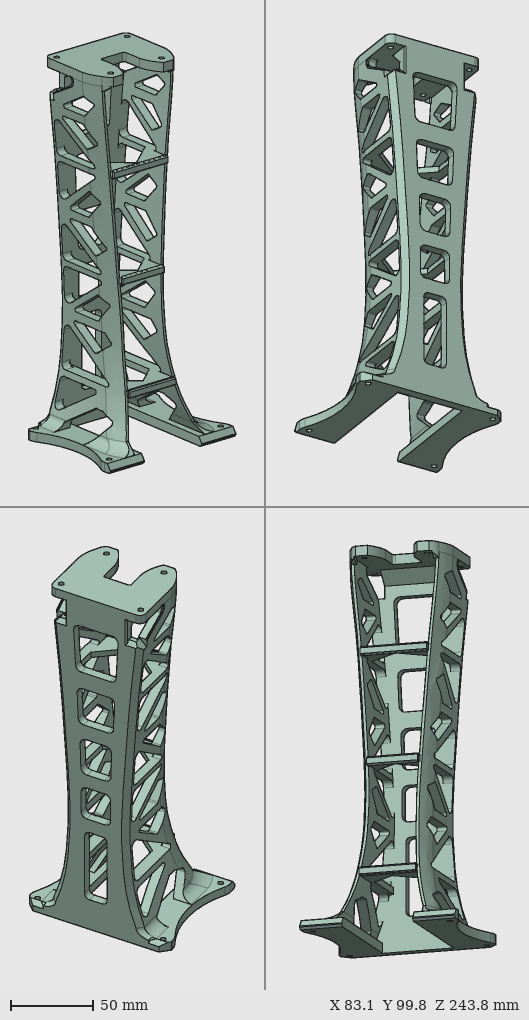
import cadquery as cq
import math


LENGTH = 83.14
WIDTH = 99.76
HEIGHT = 243.8
PLATE = 6.2
HEAD_BOTTOM = HEIGHT - PLATE
SELECT = 1.0

BACK_THICKNESS = 6.0
WALL_THICKNESS = 6.4
CORNER_DEPTH = 4.0
CORNER_WIDTH = 3.6
BEVEL_LENGTH = 13.2
BEVEL_BULGE = 0.8
BEVEL_WIDTH = 4.5

STATIONS = [
    (12.0, 31.9, 71.2),
    (19.0, 29.3, 68.3),
    (26.0, 27.2, 65.4),
    (38.0, 24.6, 61.8),
    (52.0, 22.9, 58.2),
    (71.0, 21.8, 55.1),
    (100.0, 22.2, 52.6),
    (126.0, 23.8, 51.3),
    (155.0, 25.8, 50.5),
    (185.0, 28.2, 49.8),
    (HEAD_BOTTOM, 32.7, 49.3),
]
FLARE_TOP, FLARE_HALF_WIDTH, FLARE_FRONT = STATIONS[0]
_, HEAD_HALF_WIDTH, HEAD_WALL_FRONT = STATIONS[-1]

FLARE_WIDTH = 8.8
FLARE_LENGTH = 8.8
FLARE_STEPS = 4
FLARE_ANGLE = math.radians(75)
FLARE_BOTTOM = PLATE - 0.05
FLARE_INSIDE_SPREAD = 2.3

FOOT_CORNER = 5.6
FOOT_ARC_START = 9.8
FOOT_ARC_END = 74.9
FOOT_ARC_BLEND = 10.0
FOOT_WAIST = 40.9
FOOT_OPENING = 22.8
FOOT_FRONT_BEVEL = (2.8, 4.0)
FOOT_FRONT_CHAMFER = 1.5
FOOT_REAR_BEVEL = 2.2
FOOT_HOLES = [(5.6, 44.2), (75.3, 44.2)]

HEAD_FRONT = 54.9
HEAD_CORNER = 4.5
NOTCH_BACK = 25.6
NOTCH_HALF_WIDTH = 9.5
NOTCH_RADIUS = 1.5
HEAD_HOLES = [(6.2, 27.9), (48.0, 20.2)]
HOLE_DIAMETER = 3.4
LOBE_SUPPORT = 3.8
LOBE_SUPPORT_OVERLAP = 1.0
LOBE_SUPPORT_INSIDE = 25.0
GUSSET = 8.3
POCKET_INSIDE = 21.6

RUNGS = [
    (36.2, 40.5, 64.1, 54.5, 2.4),
    (107.1, 111.0, 55.2, 49.5, 0),
    (176.7, 180.7, 52.9, 48.3, 0),
]
RUNG_V_SLOPE = 1.22
RUNG_V_TIP = 0.2
LIP_ROOT_HEIGHT = 5.8
LIP_TIP_HEIGHT = 3.6
LIP_LENGTH = 1.7

BACK_WINDOWS = [
    (21.9, 71.4, 7.9, 7.9, 3.5),
    (81.0, 103.8, 10.3, 10.3, 4.0),
    (113.5, 139.4, 10.4, 11.2, 4.5),
    (149.8, 176.2, 12.2, 13.3, 4.0),
    (188.2, 222.0, 14.0, 15.8, 4.0),
]

LOW_RUNG, MIDDLE_RUNG, HIGH_RUNG = RUNGS
TRIANGLES = [
    (LOW_RUNG[0], 13.1, 44.4),
    (LOW_RUNG[1], 72.0, 54.0),
    (MIDDLE_RUNG[0], 80.0, 45.1),
    (MIDDLE_RUNG[1], 138.6, 45.0),
    (HIGH_RUNG[0], 148.3, 44.1),
    (HIGH_RUNG[1], 208.0, 44.7),
]
TRIANGLE_RADIUS = 3.8
TRIANGLE_TIP_RADIUS = 1.6

FRONT_OPENINGS = [
    [(18.3, 4.5), (18.3, 10.9), (42.3, 25.6), (49.0, 25.6), (58.9, 21.6), (58.9, 19.3), (44.6, 4.5)],
    [(11.9, 73.7), (43.9, 73.7), (49.8, 67.3), (36.3, 58.0)],
    [(12.8, 79.6), (38.0, 96.9), (48.2, 92.3), (38.0, 79.6)],
    [(12.2, 140.9), (35.0, 140.9), (47.2, 128.9), (37.8, 122.2)],
    [(13.4, 146.7), (35.3, 164.7), (44.7, 159.3), (33.3, 146.7)],
    [(11.4, 209.0), (34.5, 209.0), (45.3, 198.0), (36.3, 192.6)],
    [(13.0, 214.9), (36.4, 228.3), (45.2, 224.5), (36.5, 214.9)],
]
OPENING_RADIUS = 1.4

POCKET_END = 7.5
POCKET_FLOOR = 221.6
POCKET_BACK_BEVEL = 2.8
POCKET_SIDE_BEVEL = 4.3
POCKET_EDGE = 1.0
POCKET_OVERCUT = 1.0
POCKET = [
    (-POCKET_OVERCUT, HEAD_BOTTOM, 0),
    (28.2, HEAD_BOTTOM, 2.6),
    (24.9, 231.8, 1.5),
    (POCKET_END, 222.2, 0),
    (POCKET_END, POCKET_FLOOR, 0),
    (POCKET_BACK_BEVEL, POCKET_FLOOR, 0),
    (-POCKET_OVERCUT, POCKET_FLOOR - POCKET_BACK_BEVEL - POCKET_OVERCUT, 0),
]
POCKET_RIM_DEPTH = 1.1
POCKET_RIM = [
    (-6.0, 238.3, 0),
    (29.9, 238.3, 3.2),
    (26.0, 231.4, 2.2),
    (7.9, POCKET_FLOOR, 0),
    (-6.0, POCKET_FLOOR, 0),
]


def rounded_polygon(workplane, corners):
    """Closed outline through (u, v, radius) corners, each rounded by its radius."""
    count = len(corners)
    outline = None
    for i in range(count):
        u, v, radius = corners[i]
        point = cq.Vector(u, v)
        to_last = (cq.Vector(*corners[i - 1][:2]) - point).normalized()
        to_next = (cq.Vector(*corners[(i + 1) % count][:2]) - point).normalized()
        half_angle = to_last.getAngle(to_next) / 2
        start = point + to_last * (radius / math.tan(half_angle))
        if outline is None:
            outline = workplane.moveTo(start.x, start.y)
        else:
            outline = outline.lineTo(start.x, start.y)
        if radius > 0:
            end = point + to_next * (radius / math.tan(half_angle))
            bisector = (to_last + to_next).normalized()
            middle = point + bisector * (radius / math.sin(half_angle) - radius)
            outline = outline.threePointArc((middle.x, middle.y), (end.x, end.y))
    return outline.close()


def through_y(corners):
    """Prism with an XZ outline, reaching across the whole width."""
    return rounded_polygon(cq.Workplane("XZ"), corners).extrude(WIDTH, both=True)


def both_sides(points):
    """The points together with their mirror images in Y, in order around the outline."""
    return points + [(x, -y) for x, y in reversed(points)]


def bevel_points(half_width, front):
    """Start, middle and end of the arc that bevels the front of a wall."""
    start = (front - BEVEL_LENGTH, half_width)
    end = (front, half_width - BEVEL_WIDTH)
    run = end[0] - start[0]
    drop = start[1] - end[1]
    chord = math.hypot(run, drop)
    middle = (
        (start[0] + end[0]) / 2 + BEVEL_BULGE * drop / chord,
        (start[1] + end[1]) / 2 + BEVEL_BULGE * run / chord,
    )
    return start, middle, end


def mirrored(point):
    return (point[0], -point[1])


def outer_section(z, half_width, front):
    start, middle, end = bevel_points(half_width, front)
    return (
        cq.Workplane("XY")
        .workplane(offset=z)
        .moveTo(0, half_width - CORNER_WIDTH)
        .lineTo(CORNER_DEPTH, half_width)
        .lineTo(*start)
        .threePointArc(middle, end)
        .lineTo(*mirrored(end))
        .threePointArc(mirrored(middle), mirrored(start))
        .lineTo(CORNER_DEPTH, -half_width)
        .lineTo(0, CORNER_WIDTH - half_width)
        .close()
        .val()
    )


def inner_section(z, half_width):
    inside = half_width - WALL_THICKNESS
    points = both_sides([(BACK_THICKNESS, inside), (LENGTH, inside)])
    return cq.Wire.makePolygon([cq.Vector(x, y, z) for x, y in points], close=True)


def tower():
    outside = cq.Solid.makeLoft([outer_section(*station) for station in STATIONS])
    inside = cq.Solid.makeLoft([inner_section(z, half_width) for z, half_width, _ in STATIONS])
    return cq.Workplane(outside).cut(cq.Workplane(inside))


def flare():
    """Spread from the tower walls down to the foot plate: concave at the sides, sloping at the front."""
    sections = []
    for step in range(FLARE_STEPS + 1):
        angle = FLARE_ANGLE * step / FLARE_STEPS
        sideways = (1 - math.cos(angle)) / (1 - math.cos(FLARE_ANGLE))
        downward = math.sin(angle) / math.sin(FLARE_ANGLE)
        z = FLARE_TOP - (FLARE_TOP - FLARE_BOTTOM) * downward
        half_width = FLARE_HALF_WIDTH + FLARE_WIDTH * sideways
        sections.append(outer_section(z, half_width, FLARE_FRONT + FLARE_LENGTH * downward))
    outside = cq.Solid.makeLoft(sections)
    inside = cq.Solid.makeLoft([
        inner_section(FLARE_BOTTOM, FLARE_HALF_WIDTH + FLARE_INSIDE_SPREAD),
        inner_section(FLARE_TOP, FLARE_HALF_WIDTH),
    ])
    return cq.Workplane(outside).cut(cq.Workplane(inside))


def holes(places, bottom):
    points = [(x, side * y) for x, y in places for side in (1, -1)]
    return (
        cq.Workplane("XY")
        .workplane(offset=bottom)
        .pushPoints(points)
        .circle(HOLE_DIAMETER / 2)
        .extrude(PLATE)
    )


def foot():
    half = WIDTH / 2
    arc_middle = (FOOT_ARC_START + FOOT_ARC_END) / 2
    plate = (
        cq.Workplane("XY")
        .moveTo(0, half - FOOT_CORNER)
        .lineTo(FOOT_CORNER, half)
        .lineTo(FOOT_ARC_START, half)
        .threePointArc((arc_middle, FOOT_WAIST), (FOOT_ARC_END, half))
        .lineTo(LENGTH, half)
        .lineTo(LENGTH, -half)
        .lineTo(FOOT_ARC_END, -half)
        .threePointArc((arc_middle, -FOOT_WAIST), (FOOT_ARC_START, -half))
        .lineTo(FOOT_CORNER, -half)
        .lineTo(0, FOOT_CORNER - half)
        .close()
        .extrude(PLATE)
    )
    arc_ends = cq.selectors.BoxSelector(
        (FOOT_ARC_START - SELECT, -WIDTH, -SELECT), (FOOT_ARC_END + SELECT, WIDTH, PLATE + SELECT)
    )
    plate = plate.edges("|Z").edges(arc_ends).fillet(FOOT_ARC_BLEND)
    bevel_length, bevel_height = FOOT_FRONT_BEVEL
    profile = through_y([
        (0, 0, 0),
        (LENGTH - FOOT_FRONT_CHAMFER, 0, 0),
        (LENGTH, FOOT_FRONT_CHAMFER, 0),
        (LENGTH, PLATE - bevel_height, 0),
        (LENGTH - bevel_length, PLATE, 0),
        (CORNER_DEPTH, PLATE, 0),
        (0, PLATE - FOOT_REAR_BEVEL, 0),
    ])
    back_wall = cq.Workplane("XY").box(
        BACK_THICKNESS,
        2 * (FLARE_HALF_WIDTH + FLARE_WIDTH - CORNER_WIDTH),
        PLATE,
        centered=(False, True, False),
    )
    plate = plate.intersect(profile).union(back_wall)
    opening = (
        cq.Workplane("XY")
        .box(LENGTH, 2 * FOOT_OPENING, PLATE, centered=(False, True, False))
        .translate((BACK_THICKNESS, 0, 0))
    )
    return plate.cut(opening).cut(holes(FOOT_HOLES, 0))


def head_outline(bottom, height):
    """Head plate with two rounded front lobes on either side of a central notch."""
    plan = cq.Workplane("XY").workplane(offset=bottom)
    bevel_start, bevel_middle, bevel_end = bevel_points(HEAD_HALF_WIDTH, HEAD_WALL_FRONT)
    lobe_middle = (52.4, 26.4)
    lobe_outer = (HEAD_FRONT, 23.6)
    lobe_inner = (HEAD_FRONT, 16.0)
    notch_curve = (48.0, 11.8)
    notch_start = (40.0, NOTCH_HALF_WIDTH)

    plate = (
        plan.moveTo(0, HEAD_HALF_WIDTH)
        .lineTo(*bevel_start)
        .threePointArc(bevel_middle, bevel_end)
        .threePointArc(lobe_middle, lobe_outer)
        .lineTo(*lobe_inner)
        .threePointArc(notch_curve, notch_start)
        .lineTo(NOTCH_BACK, NOTCH_HALF_WIDTH)
        .lineTo(NOTCH_BACK, -NOTCH_HALF_WIDTH)
        .lineTo(*mirrored(notch_start))
        .threePointArc(mirrored(notch_curve), mirrored(lobe_inner))
        .lineTo(*mirrored(lobe_outer))
        .threePointArc(mirrored(lobe_middle), mirrored(bevel_end))
        .threePointArc(mirrored(bevel_middle), mirrored(bevel_start))
        .lineTo(0, -HEAD_HALF_WIDTH)
        .close()
        .extrude(height)
    )
    plate = plate.edges("|Z and <X").fillet(HEAD_CORNER)
    notch_corners = cq.selectors.BoxSelector(
        (NOTCH_BACK - SELECT, -NOTCH_HALF_WIDTH - SELECT, bottom - SELECT),
        (NOTCH_BACK + SELECT, NOTCH_HALF_WIDTH + SELECT, bottom + height + SELECT),
    )
    return plate.edges("|Z").edges(notch_corners).fillet(NOTCH_RADIUS)


def head():
    plate = head_outline(HEAD_BOTTOM, PLATE)
    return plate.cut(holes(HEAD_HOLES, HEAD_BOTTOM))


def lobe_supports():
    """Sloping wedges below the lobe tips, running down to the front edges of the walls."""
    wedge_back = HEAD_WALL_FRONT - LOBE_SUPPORT_OVERLAP
    profile = through_y([
        (wedge_back, HEAD_BOTTOM, 0),
        (HEAD_FRONT, HEAD_BOTTOM, 0),
        (HEAD_WALL_FRONT, HEAD_BOTTOM - LOBE_SUPPORT, 0),
        (wedge_back, HEAD_BOTTOM - LOBE_SUPPORT, 0),
    ])
    gap = cq.Workplane("XY").box(4 * LENGTH, 2 * LOBE_SUPPORT_INSIDE, 4 * HEIGHT)
    return head_outline(HEAD_BOTTOM - PLATE, PLATE).intersect(profile).cut(gap)


def gusset():
    return (
        cq.Workplane("XZ")
        .moveTo(BACK_THICKNESS, HEAD_BOTTOM)
        .lineTo(BACK_THICKNESS + GUSSET, HEAD_BOTTOM)
        .lineTo(BACK_THICKNESS, HEAD_BOTTOM - GUSSET)
        .close()
        .extrude(POCKET_INSIDE, both=True)
    )


def station_at(z):
    """Half-width and front edge of the tower at height z, between the two nearest stations."""
    for low, high in zip(STATIONS, STATIONS[1:]):
        if low[0] <= z <= high[0]:
            share = (z - low[0]) / (high[0] - low[0])
            return (low[1] + share * (high[1] - low[1]), low[2] + share * (high[2] - low[2]))


def rung(bottom, top, outer, apex, ledge_width):
    """Level web with a V cut on its inner side and a bevelled lip along its outer edge."""
    middle = (bottom + top) / 2
    half_width, front = station_at(middle)
    wall_middle = half_width - WALL_THICKNESS / 2
    inner_edge = half_width - WALL_THICKNESS - ledge_width
    lip_end = half_width - WALL_THICKNESS
    root = outer - LIP_LENGTH
    tip = RUNG_V_TIP / 2
    inner_points = [(apex, tip), (apex - (inner_edge - tip) / RUNG_V_SLOPE, inner_edge)]
    if ledge_width > 0:
        inner_points += [(BACK_THICKNESS, inner_edge), (BACK_THICKNESS, wall_middle)]
    else:
        inner_points += [(apex - wall_middle / RUNG_V_SLOPE, wall_middle)]
    web = (
        cq.Workplane("XY")
        .workplane(offset=bottom)
        .polyline(both_sides(inner_points + [(front - BEVEL_LENGTH / 2, wall_middle), (root, lip_end)]))
        .close()
        .extrude(top - bottom)
    )
    lip = (
        cq.Workplane("XZ")
        .polyline([
            (root, middle - LIP_ROOT_HEIGHT / 2),
            (outer, middle - LIP_TIP_HEIGHT / 2),
            (outer, middle + LIP_TIP_HEIGHT / 2),
            (root, middle + LIP_ROOT_HEIGHT / 2),
        ])
        .close()
        .extrude(lip_end, both=True)
    )
    return web.union(lip)


def back_window(bottom, top, bottom_half, top_half, radius):
    corners = [
        (-bottom_half, bottom, radius),
        (bottom_half, bottom, radius),
        (top_half, top, radius),
        (-top_half, top, radius),
    ]
    return rounded_polygon(cq.Workplane("YZ"), corners).extrude(BACK_THICKNESS)


def triangle(level, rear_corner, tip):
    return through_y([
        (BACK_THICKNESS, level, TRIANGLE_RADIUS),
        (tip, level, TRIANGLE_TIP_RADIUS),
        (BACK_THICKNESS, rear_corner, TRIANGLE_RADIUS),
    ])


def head_pockets():
    """Cutter for both pockets, sparing the back wall between them."""
    between = (
        cq.Workplane("XY")
        .polyline(both_sides([
            (-POCKET_EDGE, POCKET_INSIDE - 2 * POCKET_EDGE),
            (POCKET_EDGE, POCKET_INSIDE),
            (LENGTH, POCKET_INSIDE),
        ]))
        .close()
        .extrude(HEIGHT)
    )
    return through_y(POCKET).cut(between)


def pocket_rim():
    """Cutter for the bevelled rim of the pocket on the -Y wall, square to its leaning outer face."""
    low_half_width, _ = station_at(POCKET_FLOOR)
    lean = math.atan2(HEAD_HALF_WIDTH - low_half_width, HEAD_BOTTOM - POCKET_FLOOR)
    plane = cq.Plane(
        origin=(0, -low_half_width, POCKET_FLOOR),
        xDir=(1, 0, 0),
        normal=(0, -math.cos(lean), -math.sin(lean)),
    )
    rim = [(x, z - POCKET_FLOOR, radius) for x, z, radius in POCKET_RIM]
    return rounded_polygon(cq.Workplane(plane), rim).extrude(-POCKET_RIM_DEPTH, taper=45)


def pocket_side_bevel():
    """Cutter that slopes the pocket floor down to the outer face of the -Y wall."""
    outside, _ = station_at(POCKET_FLOOR - POCKET_SIDE_BEVEL)
    return (
        cq.Workplane("YZ")
        .polyline([
            (POCKET_SIDE_BEVEL - outside, POCKET_FLOOR),
            (-outside - POCKET_SIDE_BEVEL, POCKET_FLOOR - 2 * POCKET_SIDE_BEVEL),
            (-outside - POCKET_SIDE_BEVEL, POCKET_FLOOR),
        ])
        .close()
        .extrude(POCKET_END)
    )


result = tower().union(flare())
for window in BACK_WINDOWS:
    result = result.cut(back_window(*window))
for opening in TRIANGLES:
    result = result.cut(triangle(*opening))
for opening in FRONT_OPENINGS:
    result = result.cut(through_y([(x, z, OPENING_RADIUS) for x, z in opening]))
result = result.cut(head_pockets())
for cutter in (pocket_rim(), pocket_side_bevel()):
    result = result.cut(cutter).cut(cutter.mirror("XZ"))
for item in RUNGS:
    result = result.union(rung(*item))
result = result.union(gusset()).union(lobe_supports()).union(foot()).union(head())